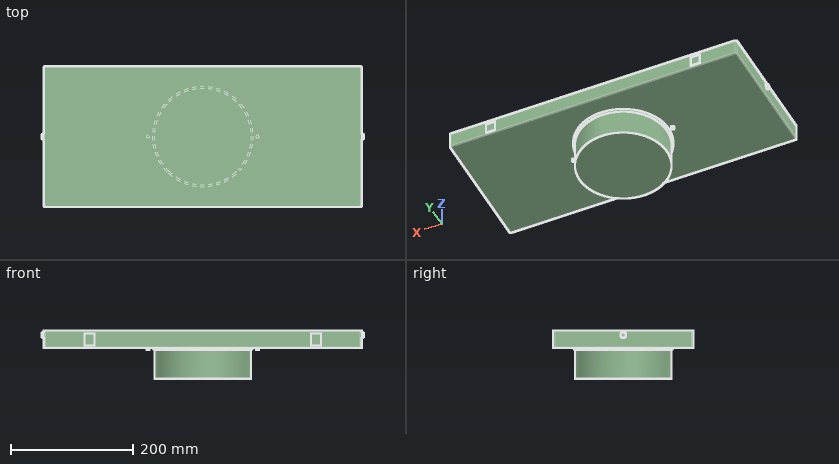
import cadquery as cq

overall_length = 526.5
box_width = 230.0
overall_height = 79.0

box_height = 29.0
corner_radius = 3.0
bottom_edge_radius = 1.5

spigot_radius = 79.0
collar_radius = 82.0
collar_height = 3.0

rivet_radius = 5.0
rivet_projection = 3.0
rivet_rim_radius = 2.5
rivet_drop = 7.5

screw_radius = 2.5
screw_projection = 3.0
screw_offset = 89.5

recess_length = 16.5
recess_height = 19.0
recess_depth = 0.5
recess_offset = 185.5
recess_top_gap = 5.5

box_length = overall_length - 2 * rivet_projection
overlap = 2.5
sides = (-1, 1)


def make_box():
    """Box with its top at Z = 0, rounded upright corners and rounded bottom edges."""
    body = cq.Workplane("XY").box(box_length, box_width, box_height, centered=(True, True, False))
    body = body.translate((0, 0, -box_height))
    body = body.edges("|Z").fillet(corner_radius)
    return body.faces("<Z").edges().fillet(bottom_edge_radius)


def make_spigot():
    """Cylinder hanging below the box, with a tapered collar at its root."""
    half_profile = [
        (0, overlap - box_height),
        (collar_radius, overlap - box_height),
        (collar_radius, -box_height),
        (spigot_radius, -box_height - collar_height),
        (spigot_radius, -overall_height),
        (0, -overall_height),
    ]
    return cq.Workplane("XZ").polyline(half_profile).close().revolve(360, (0, 0), (0, 1))


def make_rivet(side):
    """Rivet head with a rounded rim on the end face at the given side of X."""
    rivet = cq.Workplane("YZ").circle(rivet_radius).extrude(overlap + rivet_projection)
    rivet = rivet.faces(">X").edges().fillet(rivet_rim_radius)
    rivet = rivet.translate((box_length / 2 - overlap, 0, -rivet_drop))
    return rivet if side > 0 else rivet.mirror("YZ")


def make_screw(side):
    """Flat screw head under the box."""
    screw = cq.Workplane("XY").circle(screw_radius).extrude(overlap + screw_projection)
    return screw.translate((side * screw_offset, 0, -box_height - screw_projection))


def make_recess(x_side, y_side):
    """Cutter for one shallow recess, centred on the plane of a long side face."""
    cutter = cq.Workplane("XY").box(recess_length, 2 * recess_depth, recess_height)
    recess_z = -recess_top_gap - recess_height / 2
    return cutter.translate((x_side * recess_offset, y_side * box_width / 2, recess_z))


result = make_box().union(make_spigot())
for x_side in sides:
    result = result.union(make_rivet(x_side)).union(make_screw(x_side))
    for y_side in sides:
        result = result.cut(make_recess(x_side, y_side))